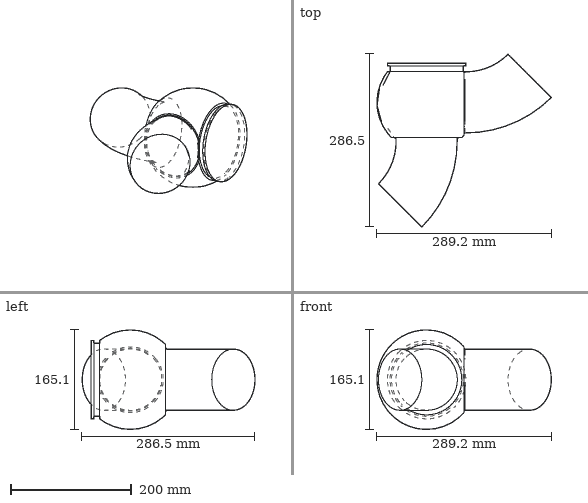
import cadquery as cq

ball_diameter = 165.1
ball_radius = ball_diameter / 2
flat_plus_x = 62.0
flat_plus_y = 51.0
flat_minus_y = 58.5

pipe_radius = 101.6 / 2
elbow_start = 64.65
bend_radius = 150.0
bend_angle = 45.0
root_fillet_plus_x = 1.3
root_fillet_minus_y = 2.5

neck_radius = 60.7
flange_radius = 65.0
flange_thickness = 4.7
flange_end = 65.1
flange_fillet = 1.6


def make_ball():
    """Sphere trimmed flat on the +X, +Y and -Y sides."""
    length_x = ball_radius + flat_plus_x
    length_y = flat_plus_y + flat_minus_y
    trim = (
        cq.Workplane("XY")
        .box(length_x, length_y, ball_diameter, centered=(False, False, True))
        .translate((-ball_radius, -flat_minus_y, 0))
    )
    return cq.Workplane("XY").sphere(ball_radius).intersect(trim)


def make_root(flat_distance, root_fillet):
    """Straight start of a pipe along +X, filleted where it meets the flat."""
    root_radius = pipe_radius + root_fillet
    fillet_end = flat_distance + root_fillet
    inner_end = flat_distance - root_fillet
    return (
        cq.Workplane("XY")
        .moveTo(inner_end, 0)
        .lineTo(inner_end, root_radius)
        .lineTo(flat_distance, root_radius)
        .radiusArc((fillet_end, pipe_radius), -root_fillet)
        .lineTo(elbow_start, pipe_radius)
        .lineTo(elbow_start, 0)
        .close()
        .revolve(360, (0, 0, 0), (1, 0, 0))
    )


def make_bend():
    """Pipe bend that starts along +X and turns towards +Y."""
    return (
        cq.Workplane("YZ", origin=(elbow_start, 0, 0))
        .circle(pipe_radius)
        .revolve(bend_angle, (bend_radius, 0, 0), (bend_radius, 1, 0))
    )


def make_elbow_plus_x():
    """Elbow along +X, its root fillet cut level with the +Y flat."""
    beyond_flat = (
        cq.Workplane("XY")
        .box(elbow_start, ball_radius, ball_diameter, centered=(False, False, True))
        .translate((0, flat_plus_y, 0))
    )
    root = make_root(flat_plus_x, root_fillet_plus_x).cut(beyond_flat)
    return root.union(make_bend())


def make_elbow_minus_y():
    """Elbow along -Y that bends towards -X."""
    elbow = make_root(flat_minus_y, root_fillet_minus_y).union(make_bend())
    return elbow.rotate((0, 0, 0), (0, 0, 1), -90).mirror("YZ")


def make_flange():
    """Neck and flange revolved about Y, with a fillet under the flange."""
    flange_underside = flange_end - flange_thickness
    neck_start = flat_plus_y - flange_thickness
    return (
        cq.Workplane("XY")
        .moveTo(0, neck_start)
        .lineTo(neck_radius, neck_start)
        .lineTo(neck_radius, flange_underside - flange_fillet)
        .radiusArc((neck_radius + flange_fillet, flange_underside), flange_fillet)
        .lineTo(flange_radius, flange_underside)
        .lineTo(flange_radius, flange_end)
        .lineTo(0, flange_end)
        .close()
        .revolve(360, (0, 0, 0), (0, 1, 0))
    )


result = (
    make_ball()
    .union(make_flange())
    .union(make_elbow_plus_x())
    .union(make_elbow_minus_y())
)